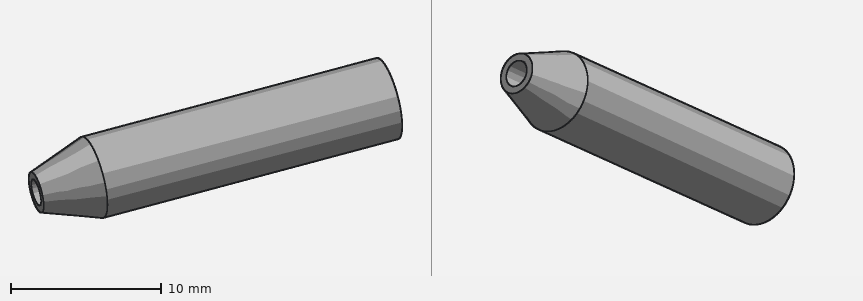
import cadquery as cq

body_diameter = 5.6
total_length = 25.0
tip_length = 4.0
tip_diameter = 2.8
bore_diameter = 1.8

body_radius = body_diameter / 2
tip_radius = tip_diameter / 2
bore_radius = bore_diameter / 2


def make_sleeve():
    """Cylinder with a conical tip at the -Y end and a bore right through."""
    half_section = (
        cq.Workplane("XY")
        .moveTo(bore_radius, 0)
        .lineTo(tip_radius, 0)
        .lineTo(body_radius, tip_length)
        .lineTo(body_radius, total_length)
        .lineTo(bore_radius, total_length)
        .close()
    )
    return half_section.revolve(360, (0, 0, 0), (0, 1, 0))


result = make_sleeve()